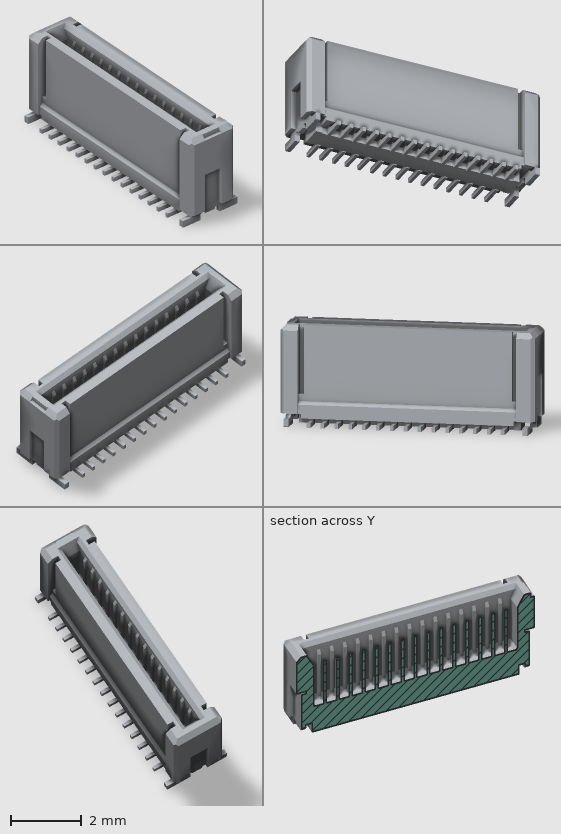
import cadquery as cq

length = 7.36
height = 2.9
foot_span = 2.0

post_length = 0.52
post_width = 1.62
post_bottom = 0.35
post_edge_chamfer = 0.11
top_chamfer = 0.155
wall_width = post_width - 2 * top_chamfer
skirt_width = 1.495
skirt_top = 0.71
skirt_bottom = 0.22
skirt_end_step = 0.08

slot_length = 0.155
slot_depth = 0.19
slot_bottom = 0.905

index_width = 0.6
index_setback = 0.11

mouth_end_wall = 0.32
mouth_width = 0.735
mouth_chamfer = 0.12
end_taper = 0.21
end_taper_height = 0.42
cavity_floor = 0.905
floor_chamfer = 0.095

base_bottom = 0.03
base_end = 0.47
base_pad_length = 0.2
base_pad_width = 0.71
base_core_width = 0.63

tab_setback = 0.15
tab_thickness = 0.15
tab_width = 0.6
tab_top = 1.515
tab_clearance = 0.065
foot_height = 0.23
foot_toe_radius = 0.04
shoulder_width = 1.16
arch_width = 0.69
arch_height = 0.25
arch_corner = 0.05
arch_lobe_width = 0.15
arch_web_width = 0.325
arch_web_height = 0.16

contact_count = 15
contact_pitch = 0.4005
contact_width = 0.1
lead_height = 0.14
leg_outer = 0.47
leg_overlap = 0.02
leg_inner = base_core_width / 2 - leg_overlap
contact_drop = 0.3
contact_bevel = 0.14
contact_reach = 0.07

half_length = length / 2
post_inner = half_length - post_length
cavity_width = mouth_width - 2 * mouth_chamfer


def block(x_size, y_size, z_low, z_high, x_mid=0.0, y_mid=0.0):
    """Axis-aligned box centred at (x_mid, y_mid) between two heights."""
    box = cq.Workplane("XY").box(x_size, y_size, z_high - z_low, centered=(True, True, False))
    return box.translate((x_mid, y_mid, z_low))


def both_ends(solid):
    """A feature of the +X end together with its mirror image."""
    return solid.union(solid.mirror("YZ"))


def both_sides(solid):
    """A feature of the +Y side together with its mirror image."""
    return solid.union(solid.mirror("XZ"))


def frustum(x_low, y_low, z_low, x_high, y_high, z_high):
    """Solid tapering between two centred rectangles."""
    return (
        cq.Workplane("XY")
        .workplane(offset=z_low)
        .rect(x_low, y_low)
        .workplane(offset=z_high - z_low)
        .rect(x_high, y_high)
        .loft(ruled=True)
    )


def end_posts():
    shell = block(length, post_width, post_bottom, height)
    shell = shell.edges("|Z").chamfer(post_edge_chamfer)
    bevel_bottom = height - top_chamfer
    bevel = frustum(length, post_width, bevel_bottom,
                    length - 2 * top_chamfer, wall_width, height)
    envelope = block(length, post_width, post_bottom, bevel_bottom).union(bevel)
    gap = block(2 * post_inner, post_width, post_bottom, height)
    return shell.intersect(envelope).cut(gap)


def body():
    half_skirt = skirt_width / 2
    half_wall = wall_width / 2
    shoulder = skirt_top - (half_skirt - half_wall)
    section = [
        (-half_skirt, skirt_bottom), (half_skirt, skirt_bottom),
        (half_skirt, shoulder), (half_wall, skirt_top), (half_wall, height),
        (-half_wall, height), (-half_wall, skirt_top), (-half_skirt, shoulder),
    ]
    solid = cq.Workplane("YZ").polyline(section).close().extrude(post_inner, both=True)
    step = block(skirt_end_step, skirt_width, skirt_bottom, post_bottom,
                 post_inner - skirt_end_step / 2)
    return solid.cut(both_ends(step))


def base():
    pad_outer = half_length - base_end
    pad = block(base_pad_length, base_pad_width, base_bottom, post_bottom,
                pad_outer - base_pad_length / 2)
    core = block(2 * pad_outer - base_pad_length, base_core_width, base_bottom, post_bottom)
    return core.union(both_ends(pad))


def relief_slots():
    slot = block(slot_length, slot_depth, slot_bottom, height,
                 post_inner - slot_length / 2, (wall_width - slot_depth) / 2)
    return both_ends(both_sides(slot))


def index_step(solid):
    bevel_bottom = height - top_chamfer
    face = half_length - index_setback
    fill = block(top_chamfer, index_width, bevel_bottom, height, face - top_chamfer / 2)
    clear = block(index_setback, index_width, bevel_bottom, height,
                  half_length - index_setback / 2)
    return solid.union(fill).cut(clear)


def cavity():
    mouth_length = length - 2 * mouth_end_wall
    inner_length = mouth_length - 2 * end_taper
    taper_bottom = height - end_taper_height
    end_wedge = frustum(inner_length, cavity_width, taper_bottom,
                        mouth_length, cavity_width, height)
    bevel_inset = end_taper * mouth_chamfer / end_taper_height
    lead_in = frustum(mouth_length - 2 * bevel_inset, cavity_width, height - mouth_chamfer,
                      mouth_length, mouth_width, height)
    wall_bottom = cavity_floor + floor_chamfer
    well = block(inner_length, cavity_width, wall_bottom, taper_bottom)
    floor = frustum(inner_length - 2 * floor_chamfer, cavity_width - 2 * floor_chamfer, cavity_floor,
                    inner_length, cavity_width, wall_bottom)
    return end_wedge.union(lead_in).union(well).union(floor)


def tab_recesses():
    depth = tab_setback + tab_thickness
    recess = block(depth, tab_width, post_bottom, tab_top + tab_clearance, half_length - depth / 2)
    return both_ends(recess)


def solder_tabs():
    half_foot = foot_span / 2
    half_shoulder = shoulder_width / 2
    half_tab = tab_width / 2
    shoulder_toe = half_shoulder + post_bottom - foot_height
    half_arch = arch_width / 2
    lobe_inner = half_arch - arch_lobe_width
    half_web = arch_web_width / 2
    right_edge = [
        (half_web, arch_web_height), (lobe_inner, arch_height),
        (half_arch - arch_corner, arch_height),
        (half_arch, arch_height - arch_corner), (half_arch, 0),
        (half_foot, 0), (half_foot, foot_height), (shoulder_toe, foot_height),
        (half_shoulder, post_bottom), (half_tab, post_bottom), (half_tab, tab_top),
    ]
    left_edge = [(-y, z) for y, z in reversed(right_edge)]
    tab = (
        cq.Workplane("YZ")
        .workplane(offset=half_length - tab_setback - tab_thickness)
        .polyline(right_edge + left_edge)
        .close()
        .extrude(tab_thickness)
    )
    tab = tab.faces("<Y or >Y").edges("|X").edges("<Z").fillet(foot_toe_radius)
    return both_ends(tab)


def contacts():
    """Soldered leads along the base and contact noses on the cavity walls."""
    half_span = foot_span / 2
    half_cavity = cavity_width / 2
    nose_top = height - contact_drop
    nose_front = half_cavity - contact_reach
    lead = [
        (leg_inner, 0), (half_span, 0), (half_span, lead_height),
        (leg_outer, lead_height), (leg_outer, post_bottom), (leg_inner, post_bottom),
    ]
    nose = [
        (half_cavity, nose_top), (nose_front, nose_top - contact_bevel),
        (nose_front, cavity_floor), (half_cavity, cavity_floor),
    ]
    row = cq.Workplane("YZ")
    for outline in (lead, nose):
        bar = cq.Workplane("YZ").polyline(outline).close().extrude(contact_width / 2, both=True)
        for index in range(contact_count):
            x = (index - (contact_count - 1) / 2) * contact_pitch
            row = row.add(bar.translate((x, 0, 0)))
    return both_sides(row.combine())


housing = end_posts().union(body()).union(base())
housing = index_step(housing)
housing = housing.cut(relief_slots()).cut(cavity()).cut(tab_recesses())
result = housing.union(solder_tabs()).union(contacts())